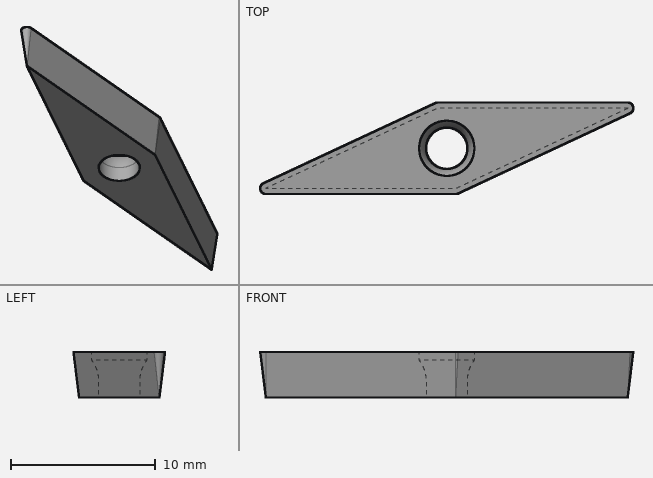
import cadquery as cq
import math

width = 6.35
thickness = 3.18
nose_angle = 25.0
nose_radius = 0.403
relief_angle = 7.0

mouth_diameter = 3.82
mouth_depth = 0.57
bore_diameter = 2.85
bore_start_depth = 2.0

side = width / math.sin(math.radians(nose_angle))
side_run = side * math.cos(math.radians(nose_angle))
half_width = width / 2


def insert_body():
    """Rhombus with rounded corners, widest at the top; corner radii shrink with the relief."""
    far_tip = (side + side_run) / 2
    near_tip = (side_run - side) / 2
    corners = [
        (-far_tip, -half_width),
        (-near_tip, -half_width),
        (far_tip, half_width),
        (near_tip, half_width),
    ]
    outline = cq.Sketch().polygon(corners + corners[:1]).vertices().fillet(nose_radius)
    return (
        cq.Workplane("XY")
        .workplane(offset=thickness)
        .placeSketch(outline)
        .extrude(-thickness, taper=relief_angle)
    )


def screw_hole():
    """Revolved cutter whose convex seat runs tangentially into the bore."""
    mouth_radius = mouth_diameter / 2
    bore_radius = bore_diameter / 2
    seat_width = mouth_radius - bore_radius
    seat_height = bore_start_depth - mouth_depth
    seat_radius = (seat_height**2 + seat_width**2) / (2 * seat_width)
    half_sweep = math.asin(seat_height / seat_radius) / 2
    seat_top = thickness - mouth_depth
    bore_top = thickness - bore_start_depth
    seat_middle = (
        bore_radius + seat_radius * (1 - math.cos(half_sweep)),
        bore_top + seat_radius * math.sin(half_sweep),
    )
    return (
        cq.Workplane("XZ")
        .lineTo(bore_radius, 0)
        .lineTo(bore_radius, bore_top)
        .threePointArc(seat_middle, (mouth_radius, seat_top))
        .lineTo(mouth_radius, thickness)
        .lineTo(0, thickness)
        .close()
        .revolve(360, (0, 0), (0, 1))
    )


result = insert_body().cut(screw_hole())